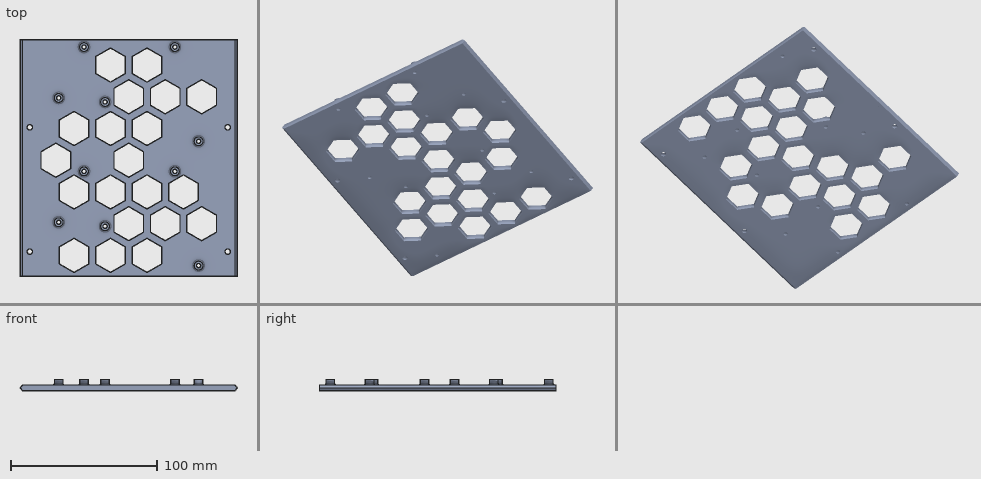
import cadquery as cq
import math

plate_width = 148.5
plate_length = 161.8
overall_height = 8.0
plate_thickness = 4.0
standoff_height = overall_height - plate_thickness
edge_taper = 1.8

group_shift = 85.0

standoff_diameter = 6.0
standoff_bore = 2.8
standoff_fillet = 1.0
standoff_points = [(-30.6, 75.9), (31.5, 75.9), (-47.9, 41.1), (-16.2, 38.4), (47.7, 11.5)]

mount_hole_diameter = 3.5
mount_hole_x = 67.7
mount_hole_y = 21.0

hex_flats = 20.0
hex_corners = hex_flats / math.cos(math.pi / 6)
hex_pitch = 25.0
hex_row_pitch = 21.7
hex_grid_y = -1.5
hex_columns = {
    3: [-1, 1],
    2: [0, 2, 4],
    1: [-3, -1, 1],
    0: [-4, 0],
    -1: [-3, -1, 1, 3],
    -2: [0, 2, 4],
    -3: [-3, -1, 1],
}


def make_plate():
    tip_x = plate_width / 2
    face_x = tip_x - edge_taper
    profile = [
        (-tip_x, plate_thickness / 2),
        (-face_x, 0),
        (face_x, 0),
        (tip_x, plate_thickness / 2),
        (face_x, plate_thickness),
        (-face_x, plate_thickness),
    ]
    return cq.Workplane("XZ").polyline(profile).close().extrude(plate_length / 2, both=True)


def make_standoff():
    """Post standing on Z = 0, turned about Z, with a concave root fillet."""
    radius = standoff_diameter / 2
    root_radius = radius + standoff_fillet
    arc_offset = standoff_fillet * (1 - math.sqrt(0.5))
    return (
        cq.Workplane("XZ")
        .lineTo(root_radius, 0)
        .threePointArc((radius + arc_offset, arc_offset), (radius, standoff_fillet))
        .lineTo(radius, standoff_height)
        .lineTo(0, standoff_height)
        .close()
        .revolve(360, (0, 0), (0, 1))
    )


def through_holes(points, diameter):
    return cq.Workplane("XY").pushPoints(points).circle(diameter / 2).extrude(overall_height)


def hex_openings():
    centres = [
        (column * hex_pitch / 2, hex_grid_y + row * hex_row_pitch)
        for row, columns in hex_columns.items()
        for column in columns
    ]
    hexagon = cq.Sketch().regularPolygon(hex_corners / 2, 6)
    return cq.Workplane("XY").pushPoints(centres).placeSketch(hexagon).extrude(plate_thickness)


group_offsets = [0, -group_shift]
all_standoffs = [(x, y + offset) for offset in group_offsets for x, y in standoff_points]
mount_holes = [
    (x, mount_hole_y + offset)
    for offset in group_offsets
    for x in (-mount_hole_x, mount_hole_x)
]

result = make_plate()
for x, y in all_standoffs:
    result = result.union(make_standoff().translate((x, y, plate_thickness)))
result = result.cut(hex_openings())
result = result.cut(through_holes(all_standoffs, standoff_bore))
result = result.cut(through_holes(mount_holes, mount_hole_diameter))